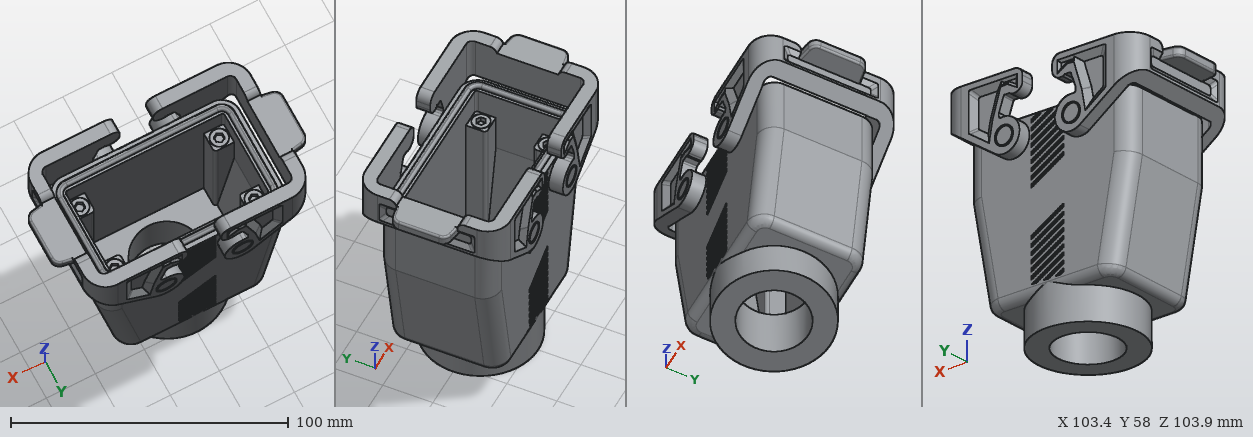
import cadquery as cq
import math

body_half_x = 38.0
body_half_y = 23.1
body_bottom_z = 14.5
taper_start_z = 60.3
rim_z = 86.7
bottom_half_x = 29.8
body_corner_radius = 7.3
bottom_edge_radius = 3.8
taper_slope = (body_half_x - bottom_half_x) / (taper_start_z - body_bottom_z)

wall = 5.6
floor_z = 21.8
cavity_corner_radius = 1.0
collar_radius = body_half_y
bore_radius = 13.9

bead_inset = 2.0
bead_width = 2.5
bead_height = 1.8
bead_edge_radius = 1.1

post_size = 8.1
post_top_z = 75.8
post_corner_radius = 1.4
screw_center = (28.5, 13.4)
screw_head_radius = 3.5
screw_head_rise = 0.2
hex_flats = 3.4
hex_depth = 2.1
hex_turn = 30.0

stripe_half_x = 7.5
stripe_rise = 0.26
stripe_thickness = 0.9
stripe_pitch = 3.2
stripe_angle = 30.0
stripe_count = 9
stripe_top_z = 85.9
stripe_bottom_z = 19.2
upper_stripes_low_z = 62.5
lower_stripes_high_z = 42.1

lever_top_z = 103.9
lever_half_x = 44.8
lever_half_y = 29.0
lever_inner_half_x = 39.4
lever_inner_half_y = body_half_y + stripe_rise
lever_corner_radius = 9.1
lever_inner_radius = 2.4
lever_side_bottom_z = 89.9
pivot_x = -15.6
pivot_z = 78.8
pivot_radius = 7.4
pin_radius = 3.7
pin_groove_width = 0.4
pin_groove_depth = 0.3
hook_tip_x = -6.9
hook_radius = 3.7
hook_bottom_z = 94.1
slot_top_z = 94.8
slot_root_x = -17.8
slot_root_z = 88.3
slot_lip_flat = 1.2
slot_lip_end = 2.3
slot_crest_width = 2.3
slot_fillet = 0.7

arm_reach_x = -lever_half_x - pivot_x
arm_reach_z = lever_side_bottom_z - pivot_z
eye_tangent = math.atan2(arm_reach_z, arm_reach_x) + math.acos(
    pivot_radius / math.hypot(arm_reach_x, arm_reach_z)
)
arm_slope = 1 / math.tan(eye_tangent)

recess_draft = 55.0
arm_recess_depth = 2.1
arm_recess_margin = 2.6
recess_top_z = 101.3
arm_recess_left_x = -31.9
arm_recess_right_x = -16.1
arm_recess_tip_x = -22.3
arm_recess_waist = (-20.7, 86.7)
hook_recess_outline = [
    (-17.7, recess_top_z),
    (-9.2, recess_top_z),
    (-9.2, 95.9),
    (-13.9, 98.6),
    (-17.0, 98.4),
]
hook_recess_depth = 0.8
end_recess_depth = 1.6
end_recess_half_y = 19.1
end_recess_z = (91.2, 99.8)
recess_corner_radius = 2.1

tab_tip_x = 51.7
tab_top_z = 101.6
tab_bottom_z = 97.5
tab_root_half_y = 13.2
tab_tip_half_y = 11.0
tab_corner_radius = 3.5
tab_edge_radius = 0.8
notch_half_y = 15.2
notch_foot_half_y = 12.3


def tapered_block(half_x, half_x_low, half_y, low_z, top_z):
    """Block symmetric about both axes, narrowing in X below the taper start."""
    outline = [
        (-half_x_low, low_z),
        (half_x_low, low_z),
        (half_x, taper_start_z),
        (half_x, top_z),
        (-half_x, top_z),
        (-half_x, taper_start_z),
    ]
    return cq.Workplane("XZ").polyline(outline).close().extrude(half_y, both=True)


def rounded_box(half_x, half_y, low_z, height, radius):
    """Upright box centred on the Z axis with rounded vertical edges."""
    box = cq.Workplane("XY").workplane(offset=low_z).rect(2 * half_x, 2 * half_y).extrude(height)
    return box.edges("|Z").fillet(radius)


def four_ways(shape):
    """Copy a shape into all four quadrants."""
    pair = shape.union(shape.mirror("YZ"))
    return pair.union(pair.mirror("XZ"))


def make_body():
    block = tapered_block(body_half_x, bottom_half_x, body_half_y, body_bottom_z, rim_z)
    block = block.edges("not (|X or |Y)").fillet(body_corner_radius)
    block = block.faces("<Z").edges().fillet(bottom_edge_radius)
    collar = cq.Workplane("XY").circle(collar_radius).extrude(floor_z)
    return block.union(collar)


def make_cavity():
    half_x = body_half_x - wall
    floor_half_x = half_x - taper_slope * (taper_start_z - floor_z)
    cavity = tapered_block(half_x, floor_half_x, body_half_y - wall, floor_z, rim_z)
    cavity = cavity.edges("not (|X or |Y)").fillet(cavity_corner_radius)
    bore = cq.Workplane("XY").circle(bore_radius).extrude(floor_z)
    return cavity.union(bore)


def make_bead():
    inner_inset = bead_inset + bead_width
    outer = rounded_box(
        body_half_x - bead_inset, body_half_y - bead_inset,
        rim_z, bead_height, body_corner_radius - bead_inset,
    )
    inner = rounded_box(
        body_half_x - inner_inset, body_half_y - inner_inset,
        rim_z, bead_height, body_corner_radius - inner_inset,
    )
    return outer.cut(inner).faces(">Z").edges().fillet(bead_edge_radius)


def make_posts():
    corner_x = body_half_x - wall
    corner_y = body_half_y - wall
    reach = wall / 2
    side = post_size + reach
    post = (
        cq.Workplane("XY").workplane(offset=floor_z)
        .center(corner_x - post_size + side / 2, corner_y - post_size + side / 2)
        .rect(side, side)
        .extrude(post_top_z - floor_z)
        .edges("|Z and <X and <Y").fillet(post_corner_radius)
    )
    head = (
        cq.Workplane("XY").workplane(offset=post_top_z)
        .center(*screw_center).circle(screw_head_radius).extrude(screw_head_rise)
    )
    socket = (
        cq.Workplane("XY").workplane(offset=post_top_z + screw_head_rise)
        .center(*screw_center)
        .transformed(rotate=(0, 0, hex_turn))
        .polygon(6, hex_flats / math.cos(math.pi / 6))
        .extrude(-hex_depth)
    )
    envelope = tapered_block(
        body_half_x - reach, bottom_half_x - reach, body_half_y, body_bottom_z, rim_z
    )
    return four_ways(post.union(head).cut(socket).intersect(envelope))


def make_stripes():
    """Both groups of stripes on the -Y face, trimmed to one upright band."""
    band = (
        cq.Workplane("XY")
        .workplane(offset=stripe_bottom_z)
        .center(0, -body_half_y)
        .rect(2 * stripe_half_x, 2 * stripe_rise)
        .extrude(stripe_top_z - stripe_bottom_z)
    )
    centers = [(0, upper_stripes_low_z + i * stripe_pitch) for i in range(stripe_count)]
    centers += [(0, lower_stripes_high_z - i * stripe_pitch) for i in range(stripe_count)]
    bar_length = 4 * stripe_half_x
    bars = (
        cq.Workplane("XZ", origin=(0, -body_half_y, 0))
        .pushPoints(centers)
        .slot2D(bar_length, stripe_thickness, stripe_angle)
        .extrude(stripe_rise, both=True)
    )
    return bars.intersect(band)


def lever_profile():
    """Side outline of the -X lever: arm, hook, locking slot and pivot eye."""
    tangent_point = (
        pivot_x + pivot_radius * math.cos(eye_tangent),
        pivot_z + pivot_radius * math.sin(eye_tangent),
    )
    eye_top_z = pivot_z + pivot_radius
    hook_start_x = hook_tip_x - hook_radius
    outline = (
        cq.Workplane("XZ")
        .moveTo(-lever_half_x, lever_top_z)
        .lineTo(hook_start_x, lever_top_z)
        .radiusArc((hook_tip_x, lever_top_z - hook_radius), hook_radius)
        .lineTo(hook_tip_x, hook_bottom_z + hook_radius)
        .radiusArc((hook_start_x, hook_bottom_z), hook_radius)
        .lineTo(hook_start_x - slot_lip_flat, hook_bottom_z)
        .lineTo(hook_start_x - slot_lip_end, slot_top_z)
        .lineTo(slot_root_x + slot_crest_width, slot_top_z)
        .lineTo(slot_root_x, slot_root_z)
        .lineTo(slot_root_x, eye_top_z)
        .lineTo(pivot_x, eye_top_z)
        .threePointArc((pivot_x + pivot_radius, pivot_z), (pivot_x, pivot_z - pivot_radius))
        .radiusArc(tangent_point, pivot_radius)
        .lineTo(-lever_half_x, lever_side_bottom_z)
        .close()
    )
    lever = outline.extrude(lever_half_y, both=True)
    slot_corners = [(slot_root_x + slot_crest_width, slot_top_z), (slot_root_x, eye_top_z)]
    for corner_x, corner_z in slot_corners:
        corner_edge = cq.selectors.NearestToPointSelector((corner_x, 0, corner_z))
        lever = lever.edges("|Y").edges(corner_edge).fillet(slot_fillet)
    return lever


def notch_arc_middle(side):
    """Point on the notch shoulder, an arc that starts level with the lever top."""
    run = notch_half_y - notch_foot_half_y
    drop = lever_top_z - tab_top_z
    radius = (run**2 + drop**2) / (2 * drop)
    half_angle = math.asin(run / radius) / 2
    y = notch_half_y - radius * math.sin(half_angle)
    return side * y, lever_top_z - radius * (1 - math.cos(half_angle))


def make_notch():
    """Dip in the top of the lever's end wall, level with the tab and rounded at its shoulders."""
    notch = (
        cq.Workplane("YZ", origin=(-lever_half_x, 0, 0))
        .moveTo(-notch_half_y, lever_top_z)
        .threePointArc(notch_arc_middle(-1), (-notch_foot_half_y, tab_top_z))
        .lineTo(notch_foot_half_y, tab_top_z)
        .threePointArc(notch_arc_middle(1), (notch_half_y, lever_top_z))
        .close()
    )
    return notch.extrude(lever_half_x - lever_inner_half_x)


def make_tab():
    tab = (
        cq.Workplane("XY").workplane(offset=tab_bottom_z)
        .polyline([
            (-lever_inner_half_x, -tab_root_half_y),
            (-lever_inner_half_x, tab_root_half_y),
            (-tab_tip_x, tab_tip_half_y),
            (-tab_tip_x, -tab_tip_half_y),
        ])
        .close()
        .extrude(tab_top_z - tab_bottom_z)
    )
    tab = tab.edges("|Z and <X").fillet(tab_corner_radius)
    return tab.faces("<X").edges("|Y").fillet(tab_edge_radius)


def sloped_recess(outline, depth):
    """Cutter sunk from the +Y lever face, narrowing with depth; outline is in X and Z."""
    face = cq.Workplane("XZ", origin=(0, lever_half_y, 0))
    return face.polyline(outline).close().extrude(depth, taper=recess_draft)


def make_arm_recess():
    def bottom_z(x):
        edge_z = lever_side_bottom_z - arm_slope * (x + lever_half_x)
        return edge_z + arm_recess_margin * math.hypot(1, arm_slope)

    outline = [
        (arm_recess_left_x, recess_top_z),
        (arm_recess_right_x, recess_top_z),
        arm_recess_waist,
        (arm_recess_tip_x, bottom_z(arm_recess_tip_x)),
        (arm_recess_left_x, bottom_z(arm_recess_left_x)),
    ]
    recess = sloped_recess(outline, arm_recess_depth)
    return recess.edges("not #Y").edges("<X").fillet(recess_corner_radius)


def make_hook_recess():
    return sloped_recess(hook_recess_outline, hook_recess_depth)


def make_end_recess():
    low_z, high_z = end_recess_z
    recess = (
        cq.Workplane("YZ", origin=(-lever_half_x, 0, (low_z + high_z) / 2))
        .rect(2 * end_recess_half_y, high_z - low_z)
        .extrude(end_recess_depth, taper=recess_draft)
    )
    return recess.edges("not #X").fillet(recess_corner_radius)


def make_pin():
    """Pivot pin bridging the gap to the body, ringed by a shallow groove."""
    pin = cq.Workplane("XZ", origin=(pivot_x, lever_half_y, pivot_z)).circle(pin_radius)
    pin = pin.extrude(lever_half_y - body_half_y + wall / 2)
    groove = (
        cq.Workplane("XZ", origin=(pivot_x, lever_half_y, pivot_z))
        .circle(pin_radius + pin_groove_width).circle(pin_radius)
        .extrude(pin_groove_depth)
    )
    return pin, groove


def both_faces(shape):
    """Shape together with its mirror copy on the other Y side."""
    return shape.union(shape.mirror("XZ"))


def make_lever():
    height = lever_top_z - pivot_z + pivot_radius
    base_z = pivot_z - pivot_radius
    outer = rounded_box(lever_half_x, lever_half_y, base_z, height, lever_corner_radius)
    inner = rounded_box(lever_inner_half_x, lever_inner_half_y, base_z, height, lever_inner_radius)
    pin, groove = make_pin()
    side_cuts = make_arm_recess().union(make_hook_recess()).union(groove)
    lever = lever_profile().intersect(outer.cut(inner))
    lever = lever.cut(both_faces(side_cuts)).cut(make_end_recess()).cut(make_notch())
    return lever.union(make_tab()).union(both_faces(pin))


result = make_body().cut(make_cavity()).union(make_bead()).union(make_posts())
stripes = make_stripes()
z_axis = ((0, 0, 0), (0, 0, 1))
result = result.union(stripes).union(stripes.rotate(*z_axis, 180))
lever = make_lever()
result = result.union(lever).union(lever.mirror("YZ"))